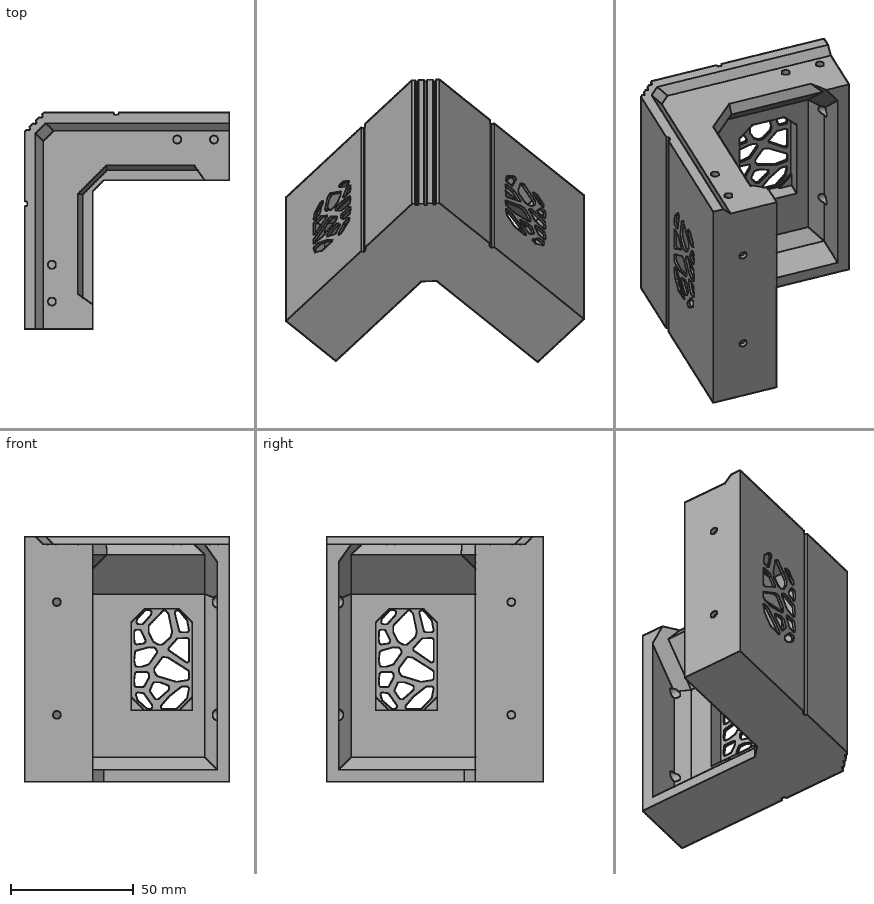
import cadquery as cq


ARM_X_LENGTH = 83.45
ARM_Y_LENGTH = 88.45
ARM_DEPTH = 27.8
HEIGHT = 100.0
OUTER_CHAMFER = 7.9
INNER_CHAMFER = 4.4
DIAGONAL = (1, 1, 0)

LIP_HEIGHT = 3.2
LIP_TOP_DEPTH = 4.4
LIP_CORNER_LEG = 4.2
DECK_Z = HEIGHT - LIP_HEIGHT
WALL = LIP_TOP_DEPTH + LIP_HEIGHT

FLOOR = 5.0
END_WALL = 5.0
CAVITY_CHAMFER = 5.0
CAVITY_CORNER_LEG = 9.8
CEILING_START_Z = 76.6
THROAT_Z = 92.7
THROAT_DEPTH = WALL + THROAT_Z - CEILING_START_Z
DECK_EDGE_DEPTH = 21.7
DECK_EDGE_LEG = 11.6
END_CEILING_SLOPE = 1.4

FACE_GROOVE_WIDTH = 2.2
FACE_GROOVE_DEPTH = 1.0
GROOVE_TAPER = 0.4
FACE_GROOVE_POSITION = 37.3
CORNER_GROOVE_WIDTH = 1.5
CORNER_GROOVE_DEPTH = 0.8
CORNER_GROOVE_PITCH = 3.6
CORNER_GROOVE_COUNT = 3

TOP_HOLE_DIAMETER = 3.3
TOP_HOLE_POSITIONS = (62.2, 77.2)
TOP_HOLE_INSET = 11.1
TOP_HOLE_LENGTH = 10.0
END_HOLE_DIAMETER = 3.2
END_BORE_DIAMETER = 4.7
END_BORE_LENGTH = 3.0
END_HOLE_INSET = 13.1
END_HOLE_LEVELS = (27.3, 73.3)

WINDOW_CENTRE = 55.9
PATTERN_LEVEL = HEIGHT / 2
WINDOW_LEVEL = 49.8
WINDOW_WIDTH = 25.0
WINDOW_HEIGHT = 41.4
WINDOW_CORNER = 5.5
PANEL_THICKNESS = 1.0
GUSSET_THICKNESS = 1.0
CELL_FILLET = 0.8
CELLS = (
    ((-10.4, 14.4), (-10.0, 16.4), (-6.8, 19.9), (-4.0, 19.9), (-4.5, 18.0), (-7.8, 14.3)),
    ((1.1, 20.3), (2.7, 18.6), (4.2, 11.2), (3.6, 9.0), (0.3, 6.0), (-1.4, 6.0), (-3.4, 7.2),
     (-5.3, 10.9), (-5.3, 13.7)),
    ((5.1, 19.8), (7.0, 19.8), (10.3, 15.9), (11.2, 11.0), (7.3, 11.1)),
    ((-11.1, 12.0), (-8.7, 12.0), (-6.5, 7.5), (-7.1, 6.5), (-10.8, 6.0), (-11.2, 8.0)),
    ((6.4, 8.5), (11.1, 8.6), (11.1, -2.0), (2.4, 4.0)),
    ((-10.8, 3.3), (-5.4, 4.8), (-2.8, 4.7), (-1.8, 2.9), (-5.3, -2.1), (-8.1, -3.0),
     (-10.7, -3.0), (-11.2, -0.5)),
    ((0.4, 0.9), (2.6, 0.6), (11.1, -4.8), (11.1, -8.4), (6.0, -9.2), (-2.0, -6.8), (-3.0, -5.1),
     (-3.0, -3.7)),
    ((-10.8, -5.3), (-5.4, -5.3), (-5.2, -7.4), (-7.3, -11.3), (-11.0, -11.3), (-11.2, -8.5)),
    ((-3.4, -9.4), (-0.8, -9.4), (3.0, -10.9), (2.9, -12.5), (-1.4, -16.3), (-2.6, -16.3),
     (-4.9, -12.9)),
    ((8.1, -11.2), (11.2, -11.2), (10.3, -15.9), (6.1, -20.2), (-1.3, -20.2),
     (3.1, -15.1)),
    ((-10.8, -13.5), (-7.4, -13.9), (-3.9, -18.8), (-3.9, -20.2), (-6.0, -20.2), (-9.8, -16.8)),
)

REACH = 150.0


def body():
    """L-shaped block with the outer corner bevelled and the inner corner filled."""
    outline = [
        (OUTER_CHAMFER, 0),
        (ARM_X_LENGTH, 0),
        (ARM_X_LENGTH, -ARM_DEPTH),
        (ARM_DEPTH + INNER_CHAMFER, -ARM_DEPTH),
        (ARM_DEPTH, -ARM_DEPTH - INNER_CHAMFER),
        (ARM_DEPTH, -ARM_Y_LENGTH),
        (0, -ARM_Y_LENGTH),
        (0, -OUTER_CHAMFER),
    ]
    return cq.Workplane("XY").polyline(outline).close().extrude(HEIGHT)


def corner_section(depth, leg):
    """Everything deeper than `depth` from both outer walls, with the corner cut by `leg`."""
    return [
        (depth + leg, -depth),
        (REACH, -depth),
        (REACH, -REACH),
        (depth, -REACH),
        (depth, -depth - leg),
    ]


def corner_layer(low_z, low_section, high_z, high_section):
    """Straight-sided solid between two corner sections."""
    return (
        cq.Workplane("XY", origin=(0, 0, low_z))
        .polyline(low_section)
        .close()
        .workplane(offset=high_z - low_z)
        .polyline(high_section)
        .close()
        .loft(ruled=True)
    )


def lip_step():
    """Material above the deck, inward of the sloping lip."""
    return corner_layer(
        DECK_Z, corner_section(WALL, LIP_CORNER_LEG),
        HEIGHT, corner_section(LIP_TOP_DEPTH, LIP_CORNER_LEG),
    )


def end_ceiling(arm_length):
    """Solid above the sloping ceiling at the far end of the +X arm."""
    origin = (arm_length - END_WALL - CAVITY_CHAMFER, -WALL, CEILING_START_Z)
    plane = cq.Plane(origin=origin, xDir=(0, 1, -1), normal=(END_CEILING_SLOPE, 1, 1))
    return cq.Workplane(plane).rect(2 * REACH, 2 * REACH).extrude(REACH)


def cavity():
    """L-shaped hollow, open on the inner side of both arms and through the deck."""
    floor = corner_section(WALL + CAVITY_CHAMFER, CAVITY_CORNER_LEG)
    wall = corner_section(WALL, CAVITY_CORNER_LEG)
    throat = corner_section(THROAT_DEPTH, CAVITY_CORNER_LEG)
    deck_edge = corner_section(DECK_EDGE_DEPTH, DECK_EDGE_LEG)
    hollow = (
        corner_layer(FLOOR, floor, FLOOR + CAVITY_CHAMFER, wall)
        .union(corner_layer(FLOOR + CAVITY_CHAMFER, wall, CEILING_START_Z, wall))
        .union(corner_layer(CEILING_START_Z, wall, THROAT_Z, throat))
        .union(corner_layer(THROAT_Z, throat, DECK_Z, deck_edge))
    )
    end_x = ARM_X_LENGTH - END_WALL
    end_y = ARM_Y_LENGTH - END_WALL
    plan = [
        (0, 0),
        (end_x - CAVITY_CHAMFER, 0),
        (end_x - CAVITY_CHAMFER, -WALL),
        (end_x, -WALL - CAVITY_CHAMFER),
        (end_x, -end_y),
        (WALL + CAVITY_CHAMFER, -end_y),
        (WALL, -end_y + CAVITY_CHAMFER),
        (0, -end_y + CAVITY_CHAMFER),
    ]
    hollow = hollow.intersect(cq.Workplane("XY").polyline(plan).close().extrude(HEIGHT))
    hollow = hollow.cut(end_ceiling(ARM_X_LENGTH))
    return hollow.cut(end_ceiling(ARM_Y_LENGTH).mirror(DIAGONAL))


def groove(width, depth):
    """Full-height tapered groove, entering the face Y = 0 at X = 0."""
    half_width = width / 2
    half_floor = half_width - GROOVE_TAPER
    profile = [
        (-half_width, 0),
        (half_width, 0),
        (half_floor, -depth),
        (-half_floor, -depth),
    ]
    return cq.Workplane("XY").polyline(profile).close().extrude(HEIGHT)


def corner_grooves():
    """Row of grooves centred on the bevelled outer corner."""
    row = cq.Workplane("XY")
    for index in range(CORNER_GROOVE_COUNT):
        offset = (index - (CORNER_GROOVE_COUNT - 1) / 2) * CORNER_GROOVE_PITCH
        row = row.add(groove(CORNER_GROOVE_WIDTH, CORNER_GROOVE_DEPTH).translate((offset, 0, 0)))
    middle = OUTER_CHAMFER / 2
    return row.combine().rotate((0, 0, 0), (0, 0, 1), 45).translate((middle, -middle, 0))


def window_prism(low_corner, start_depth, end_depth):
    """Window outline on the +X arm, bevelled above and, by `low_corner`, below."""
    prism = (
        cq.Workplane("XZ", origin=(WINDOW_CENTRE, -start_depth, WINDOW_LEVEL))
        .rect(WINDOW_WIDTH, WINDOW_HEIGHT)
        .extrude(end_depth - start_depth)
    )
    prism = prism.edges("|Y and >Z").chamfer(WINDOW_CORNER)
    if low_corner > 0:
        prism = prism.edges("|Y and <Z").chamfer(low_corner)
    return prism


def window(direction):
    """Window recess and its openings; `direction` -1 reverses the pattern along the arm."""
    gusset_depth = PANEL_THICKNESS + GUSSET_THICKNESS
    cut = window_prism(WINDOW_CORNER, PANEL_THICKNESS, gusset_depth)
    cut = cut.union(window_prism(0, gusset_depth, WALL))
    for cell in CELLS:
        corners = [(direction * across, up) for across, up in cell]
        opening = (
            cq.Workplane("XZ", origin=(WINDOW_CENTRE, 0, PATTERN_LEVEL))
            .polyline(corners)
            .close()
            .extrude(gusset_depth)
            .edges("|Y")
            .fillet(CELL_FILLET)
        )
        cut = cut.union(opening)
    return cut


def top_holes():
    """Blind holes down from the deck of the +X arm."""
    places = [(position, -TOP_HOLE_INSET) for position in TOP_HOLE_POSITIONS]
    return (
        cq.Workplane("XY", origin=(0, 0, DECK_Z))
        .pushPoints(places)
        .circle(TOP_HOLE_DIAMETER / 2)
        .extrude(-TOP_HOLE_LENGTH)
    )


def end_holes(arm_length):
    """Counterbored holes through the end wall of the +X arm, wide on the cavity side."""
    places = [(-END_HOLE_INSET, level) for level in END_HOLE_LEVELS]
    bore_bottom = arm_length - END_WALL + END_BORE_LENGTH
    bore_length = END_BORE_LENGTH + CAVITY_CHAMFER
    outer_face = cq.Workplane("YZ", origin=(arm_length, 0, 0)).pushPoints(places)
    holes = outer_face.circle(END_HOLE_DIAMETER / 2).extrude(-END_WALL)
    bore_plane = cq.Workplane("YZ", origin=(bore_bottom, 0, 0)).pushPoints(places)
    return holes.union(bore_plane.circle(END_BORE_DIAMETER / 2).extrude(-bore_length))


def arm_cuts(arm_length, pattern_direction):
    """Cuts that belong to one arm, placed on the +X arm."""
    return [
        groove(FACE_GROOVE_WIDTH, FACE_GROOVE_DEPTH).translate((FACE_GROOVE_POSITION, 0, 0)),
        window(pattern_direction),
        top_holes(),
        end_holes(arm_length),
    ]


result = body().cut(lip_step()).cut(cavity()).cut(corner_grooves())
for arm_cut in arm_cuts(ARM_X_LENGTH, 1):
    result = result.cut(arm_cut)
for arm_cut in arm_cuts(ARM_Y_LENGTH, -1):
    result = result.cut(arm_cut.mirror(DIAGONAL))